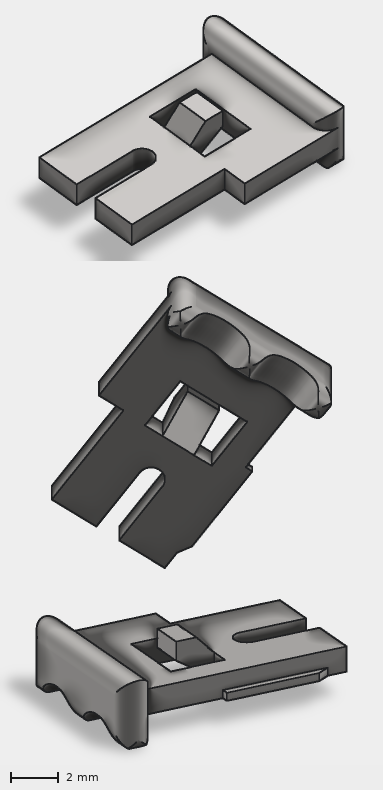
import cadquery as cq
import math

total_length = 11.25
plate_thickness = 1.15
plate_left = 0.99
leg_right = 6.75
shoulder_y = 5.23

bar_width = 8.0
bar_depth = 1.51
bar_height = 3.2
bar_bottom = -1.1
bar_top = bar_bottom + bar_height
bar_round = bar_depth / 2
bar_middle_y = total_length - bar_round

scallop_radius = 1.63
scallop_spacing = 3.5
scallop_crown = -0.1

window_left = 2.19
window_right = 5.6
window_front = 5.15
window_back = 7.74
latch_width = 1.61
latch_back = 6.99
latch_rise = 0.87
slot_width = 1.16
slot_end = 3.75
center_x = (window_left + window_right) / 2

rail_width = 0.34
rail_height = 0.37
rail_back = 5.92
rail_taper_start = 1.5
rail_tip = 0.9


def make_plate():
    outline = [
        (plate_left, 0),
        (leg_right, 0),
        (leg_right, shoulder_y),
        (bar_width, shoulder_y),
        (bar_width, bar_middle_y),
        (plate_left, bar_middle_y),
    ]
    plate = cq.Workplane("XY").polyline(outline).close().extrude(plate_thickness)
    window = (
        cq.Workplane("XY")
        .moveTo(window_left, window_front)
        .lineTo(window_right, window_front)
        .lineTo(window_right, window_back)
        .lineTo(window_left, window_back)
        .close()
        .extrude(plate_thickness)
    )
    slot_left = center_x - slot_width / 2
    slot_right = center_x + slot_width / 2
    slot_arc_start = slot_end - slot_width / 2
    slot = (
        cq.Workplane("XY")
        .moveTo(slot_left, 0)
        .lineTo(slot_right, 0)
        .lineTo(slot_right, slot_arc_start)
        .threePointArc((center_x, slot_end), (slot_left, slot_arc_start))
        .close()
        .extrude(plate_thickness)
    )
    return plate.cut(window).cut(slot)


def make_bar_profile():
    """Front outline of the bar: rounded feet blending tangentially into the scallops."""
    middle = bar_width / 2
    scallop_z = scallop_crown - scallop_radius
    half_spacing = scallop_spacing / 2
    drop = bar_bottom - scallop_z

    foot_radius = (half_spacing**2 + drop**2 - scallop_radius**2) / (2 * (scallop_radius - drop))
    foot_z = bar_bottom + foot_radius
    share = scallop_radius / (scallop_radius + foot_radius)
    touch_offset = half_spacing * share
    touch_z = scallop_z + (foot_z - scallop_z) * share
    foot_mid_angle = math.atan2(half_spacing, foot_z - scallop_z) / 2
    foot_mid_x = foot_radius * math.sin(foot_mid_angle)
    foot_mid_z = foot_z - foot_radius * math.cos(foot_mid_angle)

    left_scallop = middle - half_spacing
    right_scallop = middle + half_spacing
    left_foot = left_scallop - half_spacing
    right_foot = right_scallop + half_spacing

    corner_z = bar_bottom + left_foot
    corner_inset = left_foot * (1 - math.sqrt(0.5))
    return (
        cq.Workplane("XZ")
        .moveTo(0, bar_top)
        .lineTo(0, corner_z)
        .threePointArc((corner_inset, bar_bottom + corner_inset), (left_foot, bar_bottom))
        .threePointArc((left_foot + foot_mid_x, foot_mid_z), (left_scallop - touch_offset, touch_z))
        .threePointArc((left_scallop, scallop_crown), (left_scallop + touch_offset, touch_z))
        .threePointArc((middle, bar_bottom), (right_scallop - touch_offset, touch_z))
        .threePointArc((right_scallop, scallop_crown), (right_scallop + touch_offset, touch_z))
        .threePointArc((right_foot - foot_mid_x, foot_mid_z), (right_foot, bar_bottom))
        .threePointArc((bar_width - corner_inset, bar_bottom + corner_inset), (bar_width, corner_z))
        .lineTo(bar_width, bar_top)
        .close()
        .extrude(-total_length)
    )


def make_bar():
    """Bar with half-round edges on every side, mitred where they meet."""
    rounded_ends = (
        cq.Workplane("XY", origin=(bar_width / 2, bar_middle_y, bar_bottom))
        .slot2D(bar_width, bar_depth)
        .extrude(bar_height)
    )
    rounded_top_and_bottom = (
        cq.Workplane("YZ", origin=(0, bar_middle_y, bar_bottom + bar_height / 2))
        .slot2D(bar_height, bar_depth, 90)
        .extrude(bar_width)
    )
    return rounded_ends.intersect(rounded_top_and_bottom).intersect(make_bar_profile())


def make_latch():
    """Arm rising at 45 degrees from the front wall of the window to an upright catch."""
    latch_top = plate_thickness + latch_rise
    side = [
        (window_front, plate_thickness),
        (window_front + latch_rise, latch_top),
        (latch_back, latch_top),
        (latch_back, plate_thickness),
        (window_front, 0),
    ]
    return (
        cq.Workplane("YZ", origin=(center_x, 0, 0))
        .polyline(side)
        .close()
        .extrude(latch_width / 2, both=True)
    )


def make_rail():
    rail_left = plate_left - rail_width
    outline = [
        (plate_left, rail_back),
        (rail_left, rail_back),
        (rail_left, rail_taper_start),
        (plate_left, rail_tip),
    ]
    return cq.Workplane("XY").polyline(outline).close().extrude(rail_height)


result = make_plate().union(make_bar()).union(make_latch()).union(make_rail())